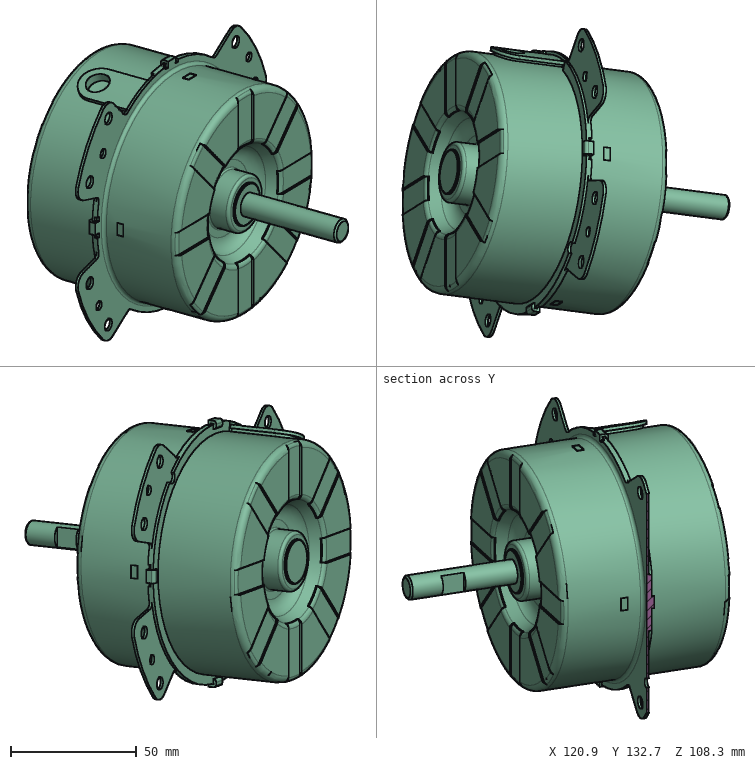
import cadquery as cq
import math


body_length = 73.5
body_radius = 97.5 / 2
edge_round = 2.9
mid_plane = body_length / 2
core_radius = 95.0 / 2

dish_rim_radius = 27.0
dish_wall_top_radius = 24.8
dish_wall_foot_radius = 22.5
dish_floor_radius = 16.0
dish_wall_angle = math.radians(27)
dish_blend_factor = (1 - math.sin(dish_wall_angle)) / math.cos(dish_wall_angle)
dish_wall_top = (dish_rim_radius - dish_wall_top_radius) * dish_blend_factor
dish_wall_foot = dish_wall_top + (dish_wall_top_radius - dish_wall_foot_radius) / math.tan(dish_wall_angle)
dish_depth = dish_wall_foot + (dish_wall_foot_radius - dish_floor_radius) * dish_blend_factor

hub_radius = 24.4 / 2
hub_round = 1.3
hub_root_round = 0.7
cap_radius = 9.0
cap_height = 0.8
cap_chamfer = 0.4

channel_count = 8
channel_width = 10.8
channel_floor_width = 10.0
channel_depth = 0.5
channel_outer_round = 2.1

shaft_radius = 10.0 / 2
shaft_end = 120.1
shaft_chamfer = 0.8
flat_start = 96.6
flat_length = 9.7
flat_depth = 2.1

sheet = 1.2
ring_radius = 52.8
ring_root_round = 1.5
bite_radius = 2.4
bite_center_radius = 52.6
bite_angles = [-45, 135]

lug_radius = 69.8
lug_corner_round = 5.3
lug_root_round = 2.0
lug_base = (26.5, 26.5)
steep_edge = [(26.5, 35.5), (66.4, 75.3)]
shallow_edge = [(18.6, 36.2), (66.4, 66.6)]
lug_lower_edge = [(79.6, 20.0), (45.1, 11.4)]
lug_hole_diameter = 5.0
small_hole_diameter = 3.8
lug_hole_places = [(44.9, 45.0), (58.0, 22.0)]
small_hole_places = [(54.2, 35.0), (-48.6, 31.0), (51.4, -34.2), (-51.5, -34.2)]

hook_top = 108.3 / 2
hook_bottom = 50.7
hook_width = 5.3
hook_round = 1.2
relief_width = 8.9
relief_depth = 1.3

pad_start = 44.9
pad_length = 2.9
pad_width = 5.3
pad_height = 0.1

tab_angle = 25
tab_end_center = 17.0
tab_radius = 8.4
tab_hole_diameter = 10.0
tab_top_radius = 51.5
tab_underside_radius = 50.0
tab_foot_radius = 6.6
tab_gap_half_angle = 12.8

clearance = 1.3
radius_slack = 0.1

quarter_turns = [0, 90, 180, 270]
diagonal_factor = math.sqrt(0.5)


def turned(shape, angle):
    return shape.rotate((0, 0, 0), (1, 0, 0), angle)


def disc(radius, start, length):
    return cq.Workplane("YZ").workplane(offset=start).circle(radius).extrude(length)


def revolved(profile):
    return profile.close().revolve(360, (0, 0, 0), (1, 0, 0))


def mirrored_to_rear(shape):
    return shape.mirror("YZ", (mid_plane, 0, 0))


def arc_middle(center, radius, x_side, r_side):
    """Middle point of a quarter arc, in (x, r) coordinates."""
    offset = radius * diagonal_factor
    return (center[0] + x_side * offset, center[1] + r_side * offset)


def make_dish():
    """Ring-shaped hollow between the cover face and the bearing hub."""
    hub_center = (hub_round, hub_radius - hub_round)
    root_center = (dish_depth - hub_root_round, hub_radius + hub_root_round)
    profile = (
        cq.Workplane("XY")
        .moveTo(0, hub_radius - hub_round)
        .threePointArc(arc_middle(hub_center, hub_round, -1, 1), (hub_round, hub_radius))
        .lineTo(dish_depth - hub_root_round, hub_radius)
        .threePointArc(
            arc_middle(root_center, hub_root_round, 1, -1),
            (dish_depth, hub_radius + hub_root_round),
        )
        .lineTo(dish_depth, dish_floor_radius)
        .tangentArcPoint((dish_wall_foot, dish_wall_foot_radius), relative=False)
        .lineTo(dish_wall_top, dish_wall_top_radius)
        .tangentArcPoint((0, dish_rim_radius), relative=False)
    )
    return revolved(profile)


def make_channels():
    """Radial channels, each rounded down into the dish and over the housing edge."""
    outer_center = (channel_depth + channel_outer_round, body_radius - channel_outer_round)
    rim_round = (dish_rim_radius - dish_wall_top_radius) / math.cos(dish_wall_angle)
    half_turn = (math.pi / 2 - dish_wall_angle) / 2
    rim_middle = (
        channel_depth + rim_round * (1 - math.cos(half_turn)),
        dish_rim_radius - rim_round * math.sin(half_turn),
    )
    layer = revolved(
        cq.Workplane("XY")
        .moveTo(-clearance, dish_wall_top_radius)
        .lineTo(channel_depth + dish_wall_top, dish_wall_top_radius)
        .threePointArc(rim_middle, (channel_depth, dish_rim_radius))
        .lineTo(channel_depth, outer_center[1])
        .threePointArc(arc_middle(outer_center, channel_outer_round, -1, 1), (outer_center[0], body_radius))
        .lineTo(outer_center[0], body_radius + clearance)
        .lineTo(-clearance, body_radius + clearance)
    )
    top = channel_width / 2
    floor = channel_floor_width / 2
    depth = outer_center[0]
    bar = (
        cq.Workplane("XY")
        .polyline([(-clearance, -top), (0, -top), (channel_depth, -floor), (depth, -floor)])
        .lineTo(depth, floor)
        .lineTo(channel_depth, floor)
        .lineTo(0, top)
        .lineTo(-clearance, top)
        .close()
        .extrude(body_radius + clearance)
    )
    channel = layer.intersect(bar)
    channels = channel
    for index in range(1, channel_count):
        channels = channels.union(turned(channel, index * 360 / channel_count))
    return channels


def make_housing():
    housing = disc(body_radius, 0, body_length).edges().fillet(edge_round)
    cover_cut = make_dish().union(make_channels())
    housing = housing.cut(cover_cut).cut(mirrored_to_rear(cover_cut))
    cap = disc(cap_radius, -cap_height, 2 * cap_height).faces("<X").edges().chamfer(cap_chamfer)
    return housing.union(cap).union(mirrored_to_rear(cap))


def make_shaft():
    shaft_start = body_length - dish_depth
    shaft = disc(shaft_radius, shaft_start, shaft_end - shaft_start)
    shaft = shaft.faces(">X").edges().chamfer(shaft_chamfer)
    flat = cq.Workplane("XY").box(
        flat_length, 2 * flat_depth, 2 * shaft_radius, centered=(False, True, True)
    )
    return shaft.cut(flat.translate((flat_start, shaft_radius, 0)))


def make_flange_ring():
    """Front flange with a gap for the wire tab and two half-round bites."""
    ring = disc(ring_radius, mid_plane - sheet, sheet)
    reach = 2 * ring_radius
    half_gap = reach * math.tan(math.radians(tab_gap_half_angle))
    gap = (
        cq.Workplane("YZ")
        .workplane(offset=mid_plane - sheet)
        .polyline([(0, 0), (half_gap, reach), (-half_gap, reach)])
        .close()
        .extrude(sheet)
    )
    ring = ring.cut(turned(gap, tab_angle))
    bite = disc(bite_radius, mid_plane - sheet, sheet).translate((0, 0, bite_center_radius))
    for angle in bite_angles:
        ring = ring.cut(turned(bite, angle))
    return ring


def edges_at_radius(shape, radius):
    """Edges running along X at the given distance from the motor axis."""

    def is_at_radius(edge):
        distance = math.hypot(edge.Center().y, edge.Center().z)
        return abs(distance - radius) < radius_slack

    chosen = [edge for edge in shape.edges("|X").vals() if is_at_radius(edge)]
    return shape.newObject(chosen)


def make_lug(top_edge):
    """Lug in the +Y +Z quadrant, bounded above by the given edge line."""
    outline = [lug_base] + top_edge + lug_lower_edge
    lug = cq.Workplane("YZ").workplane(offset=mid_plane).polyline(outline).close().extrude(sheet)
    lug = lug.intersect(disc(lug_radius, mid_plane, sheet))
    return edges_at_radius(lug, lug_radius).fillet(lug_corner_round)


def make_hook():
    """Strip rising from the bracket at +Z and curling forward over the flange ring."""
    height = hook_top - hook_bottom
    front = mid_plane - 2 * sheet
    strip = cq.Workplane("XY").box(3 * sheet, hook_width, height, centered=(False, True, False))
    strip = strip.edges("|Y and <X").fillet(hook_round)
    strip = strip.translate((front, 0, hook_bottom))
    slot = cq.Workplane("XY").box(sheet, hook_width, height, centered=(False, True, False))
    return strip.cut(slot.translate((mid_plane - sheet, 0, hook_bottom - sheet)))


def make_bracket():
    bracket = disc(ring_radius, mid_plane, sheet)
    steep_lug = make_lug(steep_edge)
    shallow_lug = make_lug(shallow_edge)
    for lug in (steep_lug.mirror("XZ"), steep_lug.mirror("XY"), shallow_lug, turned(shallow_lug, 180)):
        bracket = bracket.union(lug)
    bracket = edges_at_radius(bracket, ring_radius).fillet(lug_root_round)

    signs = [(1, 1), (1, -1), (-1, 1), (-1, -1)]
    lug_holes = [(y_sign * y, z_sign * z) for y, z in lug_hole_places for y_sign, z_sign in signs]
    for diameter, places in ((lug_hole_diameter, lug_holes), (small_hole_diameter, small_hole_places)):
        holes = cq.Workplane("YZ").workplane(offset=mid_plane).pushPoints(places).circle(diameter / 2)
        bracket = bracket.cut(holes.extrude(sheet))

    relief = cq.Workplane("XY").box(sheet, relief_width, 2 * relief_depth, centered=(False, True, True))
    relief = relief.translate((mid_plane, 0, ring_radius))
    for angle in quarter_turns:
        bracket = bracket.cut(turned(relief, angle))
    return bracket


def make_rear_collar():
    """Concave fillet between the bracket and the rear housing."""
    start = mid_plane + sheet
    round_center = (start + ring_root_round, body_radius + ring_root_round)
    profile = (
        cq.Workplane("XY")
        .moveTo(start, core_radius)
        .lineTo(start, round_center[1])
        .threePointArc(arc_middle(round_center, ring_root_round, -1, -1), (round_center[0], body_radius))
        .lineTo(round_center[0], core_radius)
    )
    return revolved(profile)


def tab_outline(radius, height):
    """Flat-ended tongue toward the front with a round tip, standing up from the axis."""
    tip = cq.Workplane("XY").circle(radius).extrude(height)
    length = mid_plane - tab_end_center
    strip = cq.Workplane("XY").box(length, 2 * radius, height, centered=(False, True, False))
    return tip.union(strip).translate((tab_end_center, 0, 0))


def make_tab():
    """Curved tab at +Z on a narrower foot that stands on the front housing."""
    tab = tab_outline(tab_radius, ring_radius).intersect(disc(tab_top_radius, 0, mid_plane))
    tab = tab.cut(disc(tab_underside_radius, 0, mid_plane))
    foot = tab_outline(tab_foot_radius, ring_radius).intersect(disc(tab_underside_radius, 0, mid_plane))
    return tab.union(foot.cut(disc(core_radius, 0, mid_plane)))


def make_tab_hole():
    hole = cq.Workplane("XY").circle(tab_hole_diameter / 2).extrude(ring_radius)
    return hole.translate((tab_end_center, 0, 0)).cut(disc(core_radius, 0, mid_plane))


def make_pad():
    pad_top = body_radius + pad_height
    pad = cq.Workplane("XY").box(pad_length, pad_width, pad_top - core_radius, centered=(False, True, False))
    return pad.translate((pad_start, 0, core_radius))


result = make_housing().union(make_shaft())
result = result.union(make_flange_ring()).union(make_bracket()).union(make_rear_collar())
for quarter in quarter_turns:
    result = result.union(turned(make_hook(), quarter)).union(turned(make_pad(), quarter))
result = result.union(turned(make_tab(), tab_angle)).cut(turned(make_tab_hole(), tab_angle))